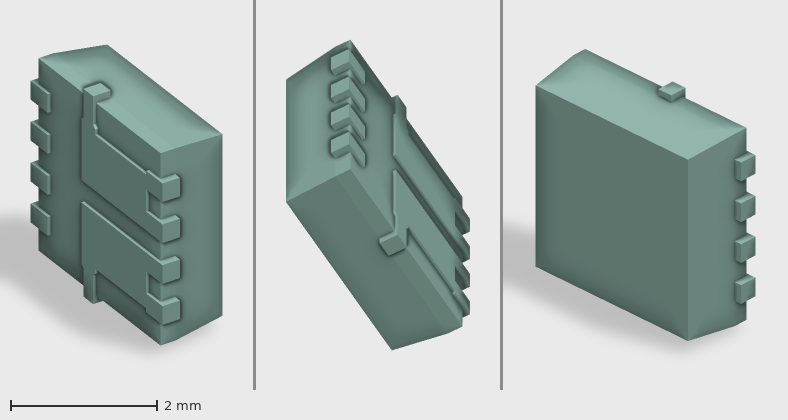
import cadquery as cq


SPAN = 3.3
HEIGHT = 1.12

BODY_WIDTH = 3.055
BACK_WIDTH = 2.885
STANDOFF = 0.05

METAL_THICKNESS = 0.285
LEAD_WIDTH = 0.297
LEAD_PITCH = 0.65
CONTACT_LENGTH = 0.432

PAD_LEFT = -0.375
PAD_RIGHT = 1.245
PAD_TOP = 1.063
NECK_WIDTH = 0.343
NECK_CHAMFER = 0.05
TIE_BAR_START = 1.198

HALF_SPAN = SPAN / 2
INNER_LEAD_Z = LEAD_PITCH / 2
OUTER_LEAD_Z = 1.5 * LEAD_PITCH
LEAD_ROWS = [-OUTER_LEAD_Z, -INNER_LEAD_Z, INNER_LEAD_Z, OUTER_LEAD_Z]


def plane_at(y):
    """XZ plane at the given Y, with its normal toward +Y and its local y axis along -Z."""
    return cq.Workplane(cq.Plane(origin=(0, y, 0), xDir=(1, 0, 0), normal=(0, 1, 0)))


def make_contact(z):
    """Rectangular contact on the -X side, centred on height z."""
    return cq.Workplane("XY").box(
        CONTACT_LENGTH, METAL_THICKNESS, LEAD_WIDTH, centered=(False, False, True)
    ).translate((-HALF_SPAN, 0, z))


def make_upper_drain_pad():
    """Drain pad above the XY plane, with two leads and a tie bar in one plate."""
    inner_lead_bottom = INNER_LEAD_Z - LEAD_WIDTH / 2
    inner_lead_top = INNER_LEAD_Z + LEAD_WIDTH / 2
    outer_lead_bottom = OUTER_LEAD_Z - LEAD_WIDTH / 2
    outer_lead_top = OUTER_LEAD_Z + LEAD_WIDTH / 2
    neck_right = PAD_LEFT + NECK_WIDTH
    neck_top = TIE_BAR_START - NECK_CHAMFER
    tie_bar_left = PAD_LEFT + NECK_CHAMFER
    tie_bar_right = neck_right - NECK_CHAMFER

    outline = [
        (PAD_LEFT, inner_lead_bottom),
        (HALF_SPAN, inner_lead_bottom),
        (HALF_SPAN, inner_lead_top),
        (PAD_RIGHT, inner_lead_top),
        (PAD_RIGHT, outer_lead_bottom),
        (HALF_SPAN, outer_lead_bottom),
        (HALF_SPAN, outer_lead_top),
        (PAD_RIGHT, outer_lead_top),
        (PAD_RIGHT, PAD_TOP),
        (neck_right, PAD_TOP),
        (neck_right, neck_top),
        (tie_bar_right, TIE_BAR_START),
        (tie_bar_right, HALF_SPAN),
        (tie_bar_left, HALF_SPAN),
        (tie_bar_left, TIE_BAR_START),
        (PAD_LEFT, neck_top),
    ]
    return cq.Workplane("XZ").polyline(outline).close().extrude(-METAL_THICKNESS)


def make_body(metal_parts):
    """Straight base and drafted back, with a matching recess for every metal part."""
    base = plane_at(STANDOFF).rect(BODY_WIDTH, BODY_WIDTH).extrude(METAL_THICKNESS - STANDOFF)
    drafted_back = (
        plane_at(METAL_THICKNESS)
        .rect(BODY_WIDTH, BODY_WIDTH)
        .workplane(offset=HEIGHT - METAL_THICKNESS)
        .rect(BACK_WIDTH, BACK_WIDTH)
        .loft(ruled=True)
    )
    body = base.union(drafted_back)
    for metal in metal_parts:
        body = body.cut(metal)
    return body.solids()


contacts = [make_contact(z) for z in LEAD_ROWS]

upper_drain_pad = make_upper_drain_pad()
lower_drain_pad = upper_drain_pad.mirror("XY")
drain_pads = [upper_drain_pad, lower_drain_pad]

metal_parts = contacts + drain_pads
body = make_body(metal_parts)

result = cq.Compound.makeCompound([body.val(), *[metal.val() for metal in metal_parts]])